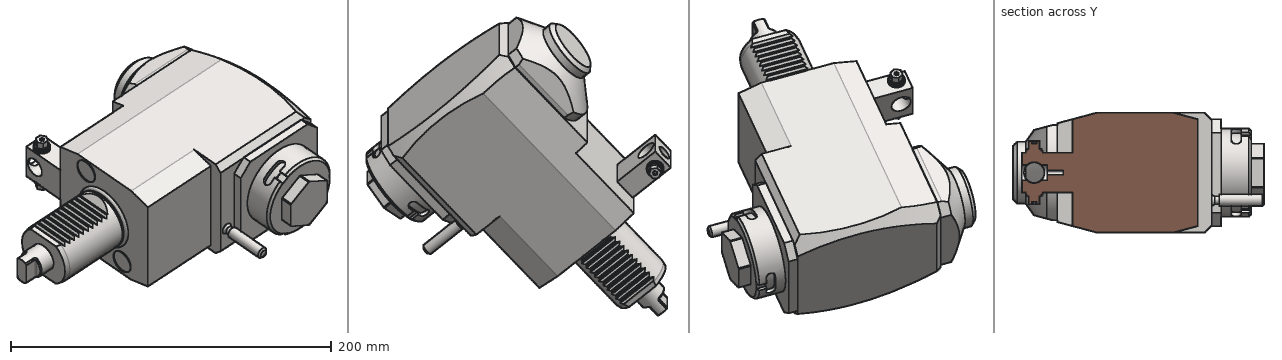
import cadquery as cq
import math


body_half_height = 37.5
flat_half_width = 24.0
side_taper = math.tan(math.radians(15))
lower_half_width = 39.2
shoulder_y = 55.0
back_y = 134.0
upper_left_x = -48.6
upper_right_x = 47.8
right_chamfer = 4.4
left_back_chamfer = 4.0
crown_radius = 129.9
crown_center_x = 9.0

plug_seats = [(-16.3, 27.7, 7.8), (15.8, -27.7, 7.6)]
plug_seat_depth = 0.6

shank_radius = 20.0
shank_length = 53.0
shank_end_chamfer = 0.7
shank_end_band = 3.3
collar_radius = 21.6
collar_length = 2.2
collar_fillet = 2.0
collar_relief_radius = 19.8
collar_relief_end = 3.4
flat_height = 15.8
flat_run_out_y = -4.6
flat_start_y = -9.0
tooth_pitch = 4.04
tooth_count = 10
first_groove_y = -11.4
groove_depth = 1.4
groove_half_width = 1.5

tang_radius = 9.1
tang_shoulder_y = -64.0
tang_end_y = -72.0
tang_half_width = 4.15
tang_root_fillet = 0.7
tang_edge_chamfer = 0.8

spindle_y = 100.3
plate_side = 67.0
plate_corner_chamfer = 8.5
plate_end_x = 53.7
nut_radius = 27.7
nut_end_x = 72.6
nut_chamfer = 1.6
slot_count = 3
slot_center_x = 63.2
slot_width = 6.0
slot_length = 18.6
slot_floor_radius = 25.0
notch_width = 5.0
notch_floor_height = 25.7
hex_across_flats = 31.9
hex_rounding_radius = 18.2
hex_end_x = 80.6

cap_radius = 37.9
cap_cylinder_x = -55.3
cap_cone_x = -68.4
cap_end_x = -76.4
boss_radius = 19.4
boss_chamfer = 2.7
cap_half_height = 29.8
cap_taper_start_x = -51.6
cap_back_y = 130.2
cap_corner_chamfer = 7.0

pin_y = 60.5
pin_z = -17.3
pin_radius = 3.7
pin_neck_radius = 2.5
pin_flare_end_x = 49.6
pin_neck_end_x = 52.7
pin_tip_chamfer = 1.2
pin_tip_radius = pin_radius - pin_tip_chamfer

arm_left_x = -70.8
arm_near_y = 1.1
arm_far_y = 15.9
arm_half_height = 12.5
bore_x = -63.1
bore_y = 7.2
nozzle_bore_radius = 6.4
side_bore_radius = 4.7
side_bore_end_x = -55.0
pilot_radius = 1.3
pilot_end_x = -45.0
washer_radius = 5.4
washer_base_height = 1.2
washer_top_radius = 4.7
washer_height = 2.4
screw_hex_across_flats = 6.8
screw_top_z = 19.8
socket_across_flats = 2.5
socket_depth = 1.5


def box_between(x0, x1, y0, y1, z0, z1):
    return cq.Workplane("XY").box(x1 - x0, y1 - y0, z1 - z0, centered=False).translate((x0, y0, z0))


def turned_about_y(profile):
    """Solid of revolution about the Y axis from (radius, y) points."""
    return cq.Workplane("XY").polyline(profile).close().revolve(360, (0, 0, 0), (0, 1, 0))


def turned_about_x(profile, y, z=0.0):
    """Solid of revolution about a line parallel to X from (x, radius) points."""
    solid = cq.Workplane("XY").polyline(profile).close().revolve(360, (0, 0, 0), (1, 0, 0))
    return solid.translate((0, y, z))


def tapered_half_height(x):
    return body_half_height - side_taper * (abs(x) - flat_half_width)


def extruded_along_y(half_outline, y0, y1):
    """Extrude from y0 to y1 an (x, z) outline given by its upper half and mirrored about Z = 0."""
    lower_half = [(x, -z) for x, z in reversed(half_outline)]
    section = cq.Workplane("XZ", origin=(0, y0, 0)).polyline(half_outline + lower_half).close()
    return section.extrude(y0 - y1)


def make_lower_housing():
    edge_z = tapered_half_height(lower_half_width)
    half_outline = [
        (-lower_half_width, edge_z),
        (-flat_half_width, body_half_height),
        (flat_half_width, body_half_height),
        (lower_half_width, edge_z),
    ]
    return extruded_along_y(half_outline, 0, shoulder_y)


def make_upper_housing():
    half_outline = [
        (upper_left_x, tapered_half_height(upper_left_x)),
        (-flat_half_width, body_half_height),
        (upper_right_x - right_chamfer, body_half_height),
        (upper_right_x, body_half_height - right_chamfer),
    ]
    housing = extruded_along_y(half_outline, shoulder_y, back_y)
    corner = (
        cq.Workplane("XY", origin=(0, 0, -body_half_height))
        .polyline([
            (upper_left_x, back_y),
            (upper_left_x + left_back_chamfer, back_y),
            (upper_left_x, back_y - left_back_chamfer),
        ])
        .close()
        .extrude(2 * body_half_height)
    )
    middle_radius = crown_radius + body_half_height
    crown = (
        cq.Workplane("XZ")
        .polyline([
            (0, -body_half_height),
            (crown_radius, -body_half_height),
            (middle_radius, 0),
            (crown_radius, body_half_height),
            (0, body_half_height),
        ])
        .close()
        .revolve(360, (0, 0, 0), (0, 1, 0))
        .translate((crown_center_x, 0, 0))
    )
    return housing.cut(corner).intersect(crown)


def make_plug_seats():
    seats = cq.Workplane("XY")
    for x, z, radius in plug_seats:
        seats = seats.add(cq.Workplane("XZ", origin=(x, 0, z)).circle(radius).extrude(-plug_seat_depth))
    return seats


def make_toothed_flat_cutter():
    """Material removed from the upper side of the shank; its lower edge is the tooth profile."""
    profile = [(flat_run_out_y, shank_radius), (flat_start_y, flat_height)]
    for i in range(tooth_count):
        groove_y = first_groove_y - i * tooth_pitch
        profile += [
            (groove_y + groove_half_width, flat_height),
            (groove_y, flat_height - groove_depth),
            (groove_y - groove_half_width, flat_height),
        ]
    profile += [(tang_end_y, flat_height), (tang_end_y, collar_radius), (flat_run_out_y, collar_radius)]
    return cq.Workplane("YZ").polyline(profile).close().extrude(shank_radius, both=True)


def make_shank():
    shank = turned_about_y([
        (0, 0),
        (collar_relief_radius, 0),
        (collar_relief_radius, -collar_relief_end),
        (shank_radius, -collar_relief_end),
        (shank_radius, -shank_length + shank_end_band),
        (shank_radius - shank_end_chamfer, -shank_length),
        (0, -shank_length),
    ])
    collar = cq.Workplane("XZ").circle(collar_radius).extrude(collar_length).faces("<Y").edges()
    collar = collar.fillet(collar_fillet)
    cutter = make_toothed_flat_cutter()
    return shank.cut(cutter).cut(cutter.mirror("XY")).union(collar)


def make_tang():
    journal = cq.Workplane("XZ", origin=(0, -shank_length, 0)).circle(tang_radius)
    journal = journal.extrude(-shank_length - tang_end_y)
    middle_y = (tang_shoulder_y + tang_end_y) / 2
    for side in (-1, 1):
        waste = (
            cq.Workplane("XY")
            .box(tang_radius, tang_shoulder_y - tang_end_y, 2 * tang_radius)
            .translate((side * (tang_half_width + tang_radius / 2), middle_y, 0))
        )
        inner_face = "<X" if side > 0 else ">X"
        waste = waste.edges(">Y").edges(inner_face).fillet(tang_root_fillet)
        journal = journal.cut(waste)
    long_edges = cq.selectors.BoxSelector(
        (-tang_radius, tang_end_y, -tang_radius), (tang_radius, tang_shoulder_y, tang_radius)
    )
    return journal.edges("|Y").edges(long_edges).edges("<X or >X").chamfer(tang_edge_chamfer)


def make_plate():
    plate = box_between(
        upper_right_x, plate_end_x,
        spindle_y - plate_side / 2, spindle_y + plate_side / 2,
        -plate_side / 2, plate_side / 2,
    )
    return plate.edges("|X").chamfer(plate_corner_chamfer)


def make_nut():
    nut = turned_about_x([
        (plate_end_x, 0),
        (plate_end_x, nut_radius),
        (nut_end_x - nut_chamfer, nut_radius),
        (nut_end_x, nut_radius - nut_chamfer),
        (nut_end_x, 0),
    ], spindle_y)
    slot_outline = cq.Workplane("XZ", origin=(slot_center_x, spindle_y, 0))
    slot = slot_outline.slot2D(slot_length, slot_width, 90).extrude(-nut_radius)
    slot_core = turned_about_x([
        (plate_end_x, 0),
        (plate_end_x, slot_floor_radius),
        (nut_end_x, slot_floor_radius),
        (nut_end_x, 0),
    ], spindle_y)
    slot = slot.cut(slot_core)
    notch = box_between(
        slot_center_x, nut_end_x,
        spindle_y + notch_floor_height, spindle_y + nut_radius,
        -notch_width / 2, notch_width / 2,
    )
    spanner_slot = slot.union(notch)
    for i in range(slot_count):
        angle = i * 360 / slot_count
        nut = nut.cut(spanner_slot.rotate((0, spindle_y, 0), (1, spindle_y, 0), angle))
    return nut


def make_spindle_hex():
    across_corners = hex_across_flats / math.cos(math.pi / 6)
    spindle = cq.Workplane("YZ", origin=(nut_end_x, spindle_y, 0)).polygon(6, across_corners)
    spindle = spindle.extrude(hex_end_x - nut_end_x).rotate((0, spindle_y, 0), (1, spindle_y, 0), 90)
    turned_bar = cq.Workplane("YZ", origin=(nut_end_x, spindle_y, 0)).circle(hex_rounding_radius)
    return spindle.intersect(turned_bar.extrude(hex_end_x - nut_end_x))


def make_cap():
    cone = turned_about_x([
        (upper_left_x, 0),
        (upper_left_x, cap_radius),
        (cap_cylinder_x, cap_radius),
        (cap_cone_x, boss_radius),
        (cap_cone_x, 0),
    ], spindle_y)
    envelope = (
        cq.Workplane("YZ", origin=(cap_cone_x, 0, 0))
        .rect(2 * cap_back_y, 2 * cap_half_height)
        .extrude(upper_left_x - cap_cone_x)
        .edges("|X and >Y")
        .chamfer(cap_corner_chamfer)
    )
    taper_drop = side_taper * (cap_taper_start_x - cap_cone_x)
    tapered = extruded_along_y([
        (cap_cone_x, cap_half_height - taper_drop),
        (cap_taper_start_x, cap_half_height),
        (upper_left_x, cap_half_height),
    ], 0, back_y)
    boss = turned_about_x([
        (cap_cone_x, 0),
        (cap_cone_x, boss_radius),
        (cap_end_x + boss_chamfer, boss_radius),
        (cap_end_x, boss_radius - boss_chamfer),
        (cap_end_x, 0),
    ], spindle_y)
    return cone.intersect(envelope).intersect(tapered).union(boss)


def make_coolant_pin():
    return turned_about_x([
        (upper_right_x, 0),
        (upper_right_x, pin_radius),
        (pin_flare_end_x, pin_neck_radius),
        (pin_neck_end_x, pin_neck_radius),
        (pin_neck_end_x, pin_radius),
        (hex_end_x - pin_tip_chamfer, pin_radius),
        (hex_end_x, pin_tip_radius),
        (hex_end_x, 0),
    ], pin_y, pin_z)


def make_clamp_screw():
    """Screw head and washer on top of the arm."""
    washer = (
        cq.Workplane("XZ")
        .polyline([
            (0, arm_half_height),
            (washer_radius, arm_half_height),
            (washer_radius, arm_half_height + washer_base_height),
            (washer_top_radius, arm_half_height + washer_base_height),
            (washer_top_radius, arm_half_height + washer_height),
            (0, arm_half_height + washer_height),
        ])
        .close()
        .revolve(360, (0, 0, 0), (0, 1, 0))
    )
    corner_factor = 1 / math.cos(math.pi / 6)
    head = cq.Workplane("XY", origin=(0, 0, arm_half_height))
    head = head.polygon(6, screw_hex_across_flats * corner_factor).extrude(screw_top_z - arm_half_height)
    head = head.rotate((0, 0, 0), (0, 0, 1), 90)
    socket = cq.Workplane("XY", origin=(0, 0, screw_top_z))
    socket = socket.polygon(6, socket_across_flats * corner_factor).extrude(-socket_depth)
    return washer.union(head).cut(socket).translate((bore_x, bore_y, 0))


def make_clamp_arm():
    arm = box_between(
        arm_left_x, -lower_half_width, arm_near_y, arm_far_y, -arm_half_height, arm_half_height
    )
    nozzle_bore = cq.Workplane("XZ", origin=(bore_x, 0, 0)).circle(nozzle_bore_radius).extrude(-arm_far_y)
    side_start = cq.Workplane("YZ", origin=(arm_left_x, bore_y, 0))
    side_bore = side_start.circle(side_bore_radius).extrude(side_bore_end_x - arm_left_x)
    pilot = side_start.circle(pilot_radius).extrude(pilot_end_x - arm_left_x)
    screw = make_clamp_screw()
    arm = arm.cut(nozzle_bore).cut(side_bore).cut(pilot)
    return arm.union(screw).union(screw.mirror("XY"))


result = make_lower_housing().union(make_upper_housing())
result = result.cut(make_plug_seats())
for part in (
    make_shank(),
    make_tang(),
    make_plate(),
    make_nut(),
    make_spindle_hex(),
    make_cap(),
    make_coolant_pin(),
    make_clamp_arm(),
):
    result = result.union(part)